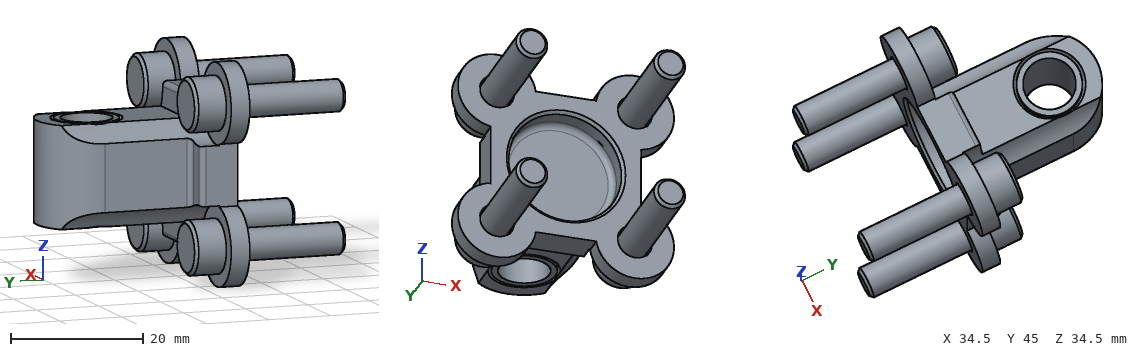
import cadquery as cq
import math


screw_spacing = 22.0
lobe_diameter = 12.5
flange_thickness = 3.0
block_width = 23.95
block_height = 6.0
edge_round = 0.8

lug_width = 16.0
eye_height = 19.95
root_fillet = 0.8

bore_diameter = 8.0
bush_diameter = 10.0
groove_diameter = 10.97
groove_depth = 1.0

pocket_diameter = 18.0
pocket_depth = 4.0
pocket_fillet = 1.0
pocket_chamfer = 0.5

shank_diameter = 5.0
head_diameter = 8.5
head_height = 5.0
head_chamfer = 0.5
head_edge_break = 0.15
tip_chamfer = 0.5
screw_projection = 17.0
screw_hole_diameter = 5.5
head_relief_diameter = 12.85

lug_radius = lug_width / 2
eye_top = eye_height + lug_radius
screw_places = [
    (x_side * screw_spacing / 2, z_side * screw_spacing / 2)
    for x_side in (-1, 1)
    for z_side in (-1, 1)
]


def xz_plane(y):
    """Workplane at height y, with X and Z as its axes and -Y as its normal."""
    return cq.Workplane("XZ", origin=(0, y, 0))


def cylinders_at_screws(diameter, y_start, y_end):
    """One cylinder on each screw axis, between two heights along Y."""
    return xz_plane(y_end).pushPoints(screw_places).circle(diameter / 2).extrude(y_end - y_start)


def make_block():
    """Square block, rounded along the edges of its +Y face."""
    block = xz_plane(block_height).rect(block_width, block_width).extrude(block_height)
    return block.faces(">Y").edges().fillet(edge_round)


def make_lug():
    """Round-ended lug, flaring into the block with a root fillet on its X sides."""
    flare_x = lug_radius + root_fillet
    straight_start = block_height + root_fillet
    arc_offset = root_fillet * (1 - math.sqrt(0.5))
    return (
        cq.Workplane("XY", origin=(0, 0, -lug_width / 2))
        .moveTo(-flare_x, block_height)
        .threePointArc(
            (-lug_radius - arc_offset, block_height + arc_offset),
            (-lug_radius, straight_start),
        )
        .lineTo(-lug_radius, eye_height)
        .threePointArc((0, eye_top), (lug_radius, eye_height))
        .lineTo(lug_radius, straight_start)
        .threePointArc(
            (lug_radius + arc_offset, block_height + arc_offset),
            (flare_x, block_height),
        )
        .close()
        .extrude(lug_width)
    )


def make_pocket():
    """Pocket cutter with a rounded floor edge and a chamfered mouth."""
    pocket = xz_plane(pocket_depth).circle(pocket_diameter / 2).extrude(pocket_depth)
    pocket = pocket.faces(">Y").edges().fillet(pocket_fillet)
    mouth = (
        xz_plane(0)
        .circle(pocket_diameter / 2 + pocket_chamfer)
        .workplane(offset=-pocket_chamfer)
        .circle(pocket_diameter / 2)
        .loft()
    )
    return pocket.union(mouth)


def make_bush_groove():
    """V groove cutter on the +Z lug face: upright at the bush, sloped outside."""
    face_z = lug_width / 2
    return (
        cq.Workplane("XZ")
        .moveTo(bush_diameter / 2, face_z)
        .lineTo(bush_diameter / 2, face_z - groove_depth)
        .lineTo(groove_diameter / 2, face_z)
        .close()
        .revolve(360, (0, 0, 0), (0, 1, 0))
        .translate((0, eye_height, 0))
    )


def make_bracket():
    """Flange lobes, block and lug with all openings."""
    body = make_block().union(make_lug())
    body = body.cut(cylinders_at_screws(head_relief_diameter, flange_thickness, eye_top))
    body = body.union(cylinders_at_screws(lobe_diameter, 0, flange_thickness))
    body = body.cut(cylinders_at_screws(screw_hole_diameter, 0, flange_thickness))
    body = body.cut(make_pocket())

    bore = (
        cq.Workplane("XY", origin=(0, eye_height, -lug_width / 2))
        .circle(bore_diameter / 2)
        .extrude(lug_width)
    )
    groove = make_bush_groove()
    return body.cut(bore).cut(groove).cut(groove.mirror("XY"))


def make_screw(x, z):
    """Cylinder-head screw, seated on the flange and reaching below the mounting face."""
    head_top = flange_thickness + head_height
    head = xz_plane(head_top).circle(head_diameter / 2).extrude(head_height)
    head = head.faces(">Y").edges().chamfer(head_chamfer)
    head = head.faces("<Y").edges().fillet(head_edge_break)
    shank_length = flange_thickness + screw_projection
    shank = xz_plane(flange_thickness).circle(shank_diameter / 2).extrude(shank_length)
    shank = shank.faces("<Y").edges().chamfer(tip_chamfer)
    return head.union(shank).translate((x, 0, z))


bracket = make_bracket()
screws = [make_screw(x, z) for x, z in screw_places]

result = cq.Compound.makeCompound([bracket.val(), *[screw.val() for screw in screws]])